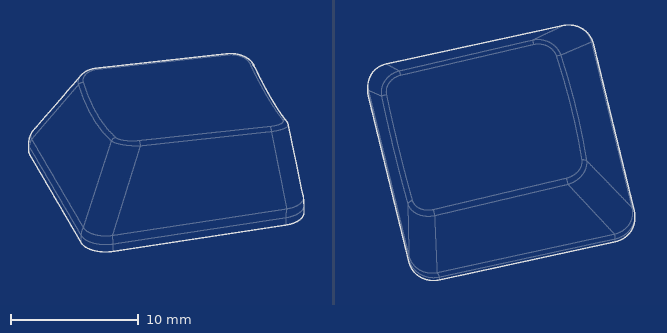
import cadquery as cq
import math

BASE_SIZE = 18.16
BASE_CORNER_RADIUS = 2.0
SKIRT_HEIGHT = 0.68

SHOULDER_HEIGHT = 0.69
WALL_FOOT = SKIRT_HEIGHT + SHOULDER_HEIGHT / 2

TOP_TILT = 2.8
TOP_MID_HEIGHT = 7.75
TOP_SIDE = 5.91
TOP_FRONT = -5.42
TOP_BACK = 8.48
TOP_CORNER_RADIUS = 1.75
TOP_MID_Y = (TOP_FRONT + TOP_BACK) / 2

DISH_RADIUS = 25.5
DISH_DEPTH = 0.99
LIP_RADIUS = 0.4
CUTTER_REACH = BASE_SIZE

HALF_BASE = BASE_SIZE / 2
TILT_SLOPE = math.tan(math.radians(TOP_TILT))


def blank_top_height(y):
    """Height of the tilted blank top at a given Y."""
    return TOP_MID_HEIGHT - TILT_SLOPE * (y - TOP_MID_Y)


SIDE_SLOPE = (HALF_BASE - TOP_SIDE) / (TOP_MID_HEIGHT - WALL_FOOT)
FRONT_SLOPE = (HALF_BASE + TOP_FRONT) / (blank_top_height(TOP_FRONT) - WALL_FOOT)
BACK_SLOPE = (HALF_BASE - TOP_BACK) / (blank_top_height(TOP_BACK) - WALL_FOOT)


def rounded_rectangle(plane, width, length, radius):
    """Rounded rectangle wire centred on the plane's origin."""
    outline = cq.Workplane(plane).rect(width, length).val()
    return outline.fillet2D(radius, outline.Vertices())


def shoulder_section(fraction):
    """Outline at a fraction of the shoulder height.

    The inset grows with the square of the height, so the shoulder leaves the
    skirt upright and meets each wall at that wall's own slope.
    """
    effective_height = SHOULDER_HEIGHT / 2 * fraction**2
    front = -HALF_BASE + FRONT_SLOPE * effective_height
    back = HALF_BASE - BACK_SLOPE * effective_height
    side = HALF_BASE - SIDE_SLOPE * effective_height
    height = SKIRT_HEIGHT + SHOULDER_HEIGHT * fraction
    plane = cq.Plane(origin=(0, (front + back) / 2, height))
    corner_radius = BASE_CORNER_RADIUS - SIDE_SLOPE * effective_height
    return rounded_rectangle(plane, 2 * side, back - front, corner_radius)


def tilted_plane():
    """Plane of the blank top, its local Y running down towards the back."""
    normal = (0, TILT_SLOPE, 1)
    return cq.Plane(origin=(0, TOP_MID_Y, TOP_MID_HEIGHT), xDir=(1, 0, 0), normal=normal)


def make_skirt():
    skirt = cq.Workplane("XY").rect(BASE_SIZE, BASE_SIZE).extrude(SKIRT_HEIGHT)
    return skirt.edges("|Z").fillet(BASE_CORNER_RADIUS)


def make_shoulder():
    sections = [shoulder_section(fraction) for fraction in (0, 0.5, 1)]
    return cq.Workplane(cq.Solid.makeLoft(sections))


def make_walls():
    tilted_length = (TOP_BACK - TOP_FRONT) / math.cos(math.radians(TOP_TILT))
    top = rounded_rectangle(tilted_plane(), 2 * TOP_SIDE, tilted_length, TOP_CORNER_RADIUS)
    return cq.Workplane(cq.Solid.makeLoft([shoulder_section(1), top], True))


def make_dish_cutter():
    axis_height = DISH_RADIUS - DISH_DEPTH
    tilted = tilted_plane()
    along_axis = cq.Plane(
        origin=tilted.toWorldCoords((0, 0, axis_height)),
        xDir=tilted.xDir,
        normal=tilted.yDir,
    )
    return cq.Workplane(along_axis).circle(DISH_RADIUS).extrude(CUTTER_REACH, both=True)


def make_dished_cap():
    """Walls and scooped top, with the lip around the dish rounded."""
    cap = make_walls().cut(make_dish_cutter())
    return cap.faces(">Z").edges().fillet(LIP_RADIUS)


result = make_skirt().union(make_shoulder()).union(make_dished_cap())